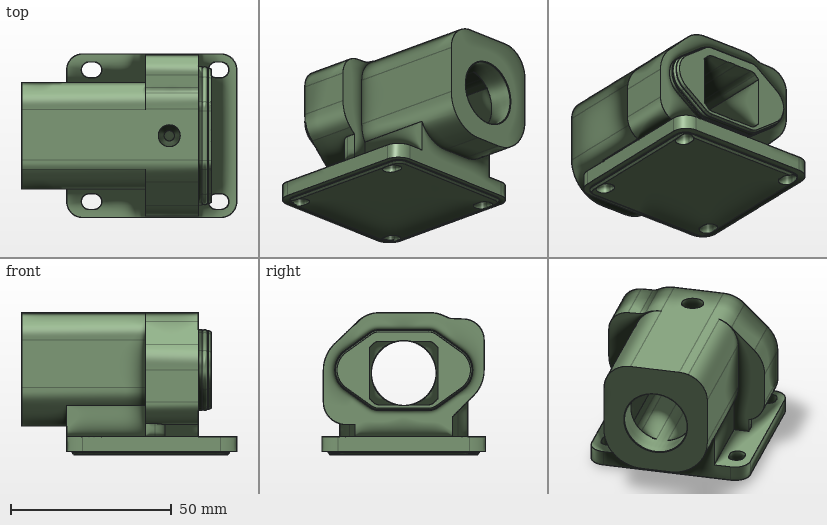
import cadquery as cq
import math

COLLAR_START = 38.5
COLLAR_END = 55.0
PLATE_START = 14.0
PLATE_END = 67.0
LIP_SEAT_END = 56.15
LIP_RING_END = 57.9
LIP_END = 59.1

PAD_HEIGHT = 1.0
PLATE_TOP = 5.7
BODY_BOTTOM = 9.0
TOP = 44.3
PEDESTAL_TOP = 16.1
LEG_TOP = 16.75
MID_HEIGHT = 26.4

PLATE_WIDTH = 51.0
PLATE_CORNER = 5.0
PAD_START = 15.7
PAD_END = 64.7
PAD_WIDTH = 47.1
PAD_CORNER = 3.35
PAD_BEVEL = 0.7
SLOT_LENGTH = 6.3
SLOT_WIDTH = 4.8
SLOT_X = (21.8, 61.3)
SLOT_Y = 20.5

BODY_HALF_WIDTH = 16.6
BODY_TOP_RADIUS = 8.5
BODY_FRONT_RADIUS = 8.9
BODY_BOTTOM_RADIUS = 12.0
PEDESTAL_HALF_WIDTH = 15.2
LEG_HALF_WIDTH = 19.95
LEG_CORNER = 3.15
LEG_END = 44.6

COLLAR_HALF_WIDTH = 25.05
SIDE_RADIUS = 11.25
FRONT_SHOULDER_RADIUS = 9.65
FRONT_SHOULDER_Y = -7.6
FRONT_SHOULDER = (FRONT_SHOULDER_Y, TOP - FRONT_SHOULDER_RADIUS)
FRONT_SHOULDER_ON_BODY = 17.5
FRONT_FOOT_RADIUS = 7.05
FRONT_FOOT_Z = 16.5
REAR_SHOULDER_RADIUS = 10.3
REAR_SHOULDER_Y = 8.25
REAR_SHOULDER_SWEEP = 29.0
REAR_VALLEY_RADIUS = 4.3
REAR_CORNER_RADIUS = 6.6
REAR_CORNER_Z = 35.7
REAR_LEDGE_TILT = 3.5

LIP_TIP_Y = 26.95
LIP_FLAT_Y = 9.3
LIP_HALF_HEIGHT = 12.6
LIP_TIP_RADIUS = 7.6
LIP_CORNER_RADIUS = 4.9
NOSE_INSET = 0.3
CORE_INSET = 0.7
NOSE_BEVEL = 0.5
NOSE_BEVEL_LENGTH = 0.95

BORE_RADIUS = 10.05
BORE_Z = 25.45
BORE_BEVEL = 0.2
CAVITY_START = 8.05
CAVITY_WIDTH = 21.45
CAVITY_HEIGHT = 19.75
CAVITY_BEVEL = 2.0
CAVITY_ROUND = 2.55
SCREW_X = 45.95
SCREW_RADIUS = 3.4
SCREW_FLOOR_RADIUS = 1.6
SCREW_DEPTH = 7.25


def yz_plane(x):
    """Sketch plane across the X axis: local axes are Y and Z, extrusion runs along +X."""
    return cq.Workplane("YZ", origin=(x, 0, 0))


def box(x_start, x_end, half_width, z_start, z_end):
    """Block centred on Y = 0."""
    size = (x_end - x_start, 2 * half_width, z_end - z_start)
    corner = (x_start, -half_width, z_start)
    return cq.Workplane("XY", origin=corner).box(*size, centered=False)


def polar(centre, radius, degrees):
    """Point on a circle."""
    angle = math.radians(degrees)
    return (centre[0] + radius * math.cos(angle), centre[1] + radius * math.sin(angle))


def arc(sketch, centre, radius, start, end):
    """Arc from the current point, which lies at the start angle; angles in degrees."""
    middle = polar(centre, radius, (start + end) / 2)
    return sketch.threePointArc(middle, polar(centre, radius, end))


def line_and_arc(sketch, centre, radius, start, end):
    """Straight line to the start of an arc, followed by the arc."""
    return arc(sketch.lineTo(*polar(centre, radius, start)), centre, radius, start, end)


def make_plate():
    """Slotted mounting plate with a bevelled pad beneath it."""
    plate = box(PLATE_START, PLATE_END, PLATE_WIDTH / 2, PAD_HEIGHT, PLATE_TOP)
    plate = plate.edges("|Z").fillet(PLATE_CORNER)
    pad = box(PAD_START, PAD_END, PAD_WIDTH / 2, 0, PAD_HEIGHT)
    pad = pad.edges("|Z").fillet(PAD_CORNER)
    pad = pad.faces("<Z").chamfer(PAD_BEVEL)
    slot_centres = [(x, y) for x in SLOT_X for y in (-SLOT_Y, SLOT_Y)]
    slots = cq.Workplane("XY").pushPoints(slot_centres).slot2D(SLOT_LENGTH, SLOT_WIDTH).extrude(PLATE_TOP)
    return plate.union(pad).cut(slots)


def make_body():
    """Rounded bar along X; its front top corner starts on the wider curve of the collar's shoulder."""
    top_y = BODY_HALF_WIDTH - BODY_TOP_RADIUS
    top_z = TOP - BODY_TOP_RADIUS
    bottom_y = BODY_HALF_WIDTH - BODY_BOTTOM_RADIUS
    bottom_z = BODY_BOTTOM + BODY_BOTTOM_RADIUS
    outline = yz_plane(0).moveTo(FRONT_SHOULDER_Y, TOP)
    outline = arc(outline, FRONT_SHOULDER, FRONT_SHOULDER_RADIUS, 90, 90 + FRONT_SHOULDER_ON_BODY)
    outline = outline.radiusArc((-BODY_HALF_WIDTH, top_z), -BODY_FRONT_RADIUS)
    outline = line_and_arc(outline, (-bottom_y, bottom_z), BODY_BOTTOM_RADIUS, 180, 270)
    outline = line_and_arc(outline, (bottom_y, bottom_z), BODY_BOTTOM_RADIUS, 270, 360)
    outline = line_and_arc(outline, (top_y, top_z), BODY_TOP_RADIUS, 0, 90)
    return outline.close().extrude(COLLAR_END)


def make_collar():
    """Wide housing with bulging sides, standing on the pedestal."""
    side_y = COLLAR_HALF_WIDTH - SIDE_RADIUS
    front_foot = (FRONT_FOOT_RADIUS - COLLAR_HALF_WIDTH, FRONT_FOOT_Z)
    rear_corner = (COLLAR_HALF_WIDTH - REAR_CORNER_RADIUS, REAR_CORNER_Z)
    rear_shoulder = (REAR_SHOULDER_Y, TOP - REAR_SHOULDER_RADIUS)
    join_angle = 90 - REAR_SHOULDER_SWEEP
    rear_valley = polar(rear_shoulder, REAR_SHOULDER_RADIUS + REAR_VALLEY_RADIUS, join_angle)
    slope_y, slope_z = polar((side_y, MID_HEIGHT), SIDE_RADIUS, -45)
    slope_end_z = slope_z - (slope_y - PEDESTAL_HALF_WIDTH)

    outline = yz_plane(COLLAR_START).moveTo(FRONT_SHOULDER_Y, TOP)
    outline = arc(outline, FRONT_SHOULDER, FRONT_SHOULDER_RADIUS, 90, 135)
    outline = line_and_arc(outline, (-side_y, MID_HEIGHT), SIDE_RADIUS, 135, 180)
    outline = line_and_arc(outline, front_foot, FRONT_FOOT_RADIUS, 180, 270)
    outline = outline.lineTo(-PEDESTAL_HALF_WIDTH, FRONT_FOOT_Z - FRONT_FOOT_RADIUS)
    outline = outline.lineTo(-PEDESTAL_HALF_WIDTH, PAD_HEIGHT)
    outline = outline.lineTo(PEDESTAL_HALF_WIDTH, PAD_HEIGHT)
    outline = outline.lineTo(PEDESTAL_HALF_WIDTH, slope_end_z)
    outline = line_and_arc(outline, (side_y, MID_HEIGHT), SIDE_RADIUS, -45, 0)
    outline = line_and_arc(outline, rear_corner, REAR_CORNER_RADIUS, 0, 90 - REAR_LEDGE_TILT)
    outline = line_and_arc(
        outline, rear_valley, REAR_VALLEY_RADIUS, 270 - REAR_LEDGE_TILT, 180 + join_angle
    )
    outline = arc(outline, rear_shoulder, REAR_SHOULDER_RADIUS, join_angle, 90)
    return outline.close().extrude(COLLAR_END - COLLAR_START)


def make_supports():
    """Pedestal under the body, and a rounded leg under each side of the collar."""
    pedestal = box(PLATE_START, COLLAR_START, PEDESTAL_HALF_WIDTH, PAD_HEIGHT, PEDESTAL_TOP)
    legs = box(COLLAR_START, LEG_END, LEG_HALF_WIDTH, PAD_HEIGHT, LEG_TOP)
    legs = legs.edges("|Z and >X").fillet(LEG_CORNER)
    return pedestal.union(legs)


def lip_block(x_start, x_end, inset):
    """Slice of the lip; the inset shrinks its outline on all sides."""
    corners = [
        (-LIP_TIP_Y, 0),
        (-LIP_FLAT_Y, LIP_HALF_HEIGHT),
        (LIP_FLAT_Y, LIP_HALF_HEIGHT),
        (LIP_TIP_Y, 0),
        (LIP_FLAT_Y, -LIP_HALF_HEIGHT),
        (-LIP_FLAT_Y, -LIP_HALF_HEIGHT),
    ]
    outline = cq.Workplane("YZ", origin=(x_start, 0, MID_HEIGHT)).polyline(corners).close()
    if inset:
        outline = outline.offset2D(-inset)
    block = outline.extrude(x_end - x_start)
    block = block.edges("|X and (<Y or >Y)").fillet(LIP_TIP_RADIUS - inset)
    return block.faces("<Z or >Z").edges("|X").fillet(LIP_CORNER_RADIUS - inset)


def make_lip():
    """Stepped lip: a seat, a rounded sealing ring and a bevelled nose."""
    seat = lip_block(COLLAR_END, LIP_SEAT_END, 0)
    core = lip_block(LIP_SEAT_END, LIP_RING_END, CORE_INSET)
    ring_radius = (LIP_RING_END - LIP_SEAT_END) / 2
    path = lip_block(LIP_SEAT_END + ring_radius, LIP_RING_END, ring_radius).faces("<X").wires()
    path_wire = path.val()
    section = cq.Workplane(cq.Plane(path_wire.startPoint(), (1, 0, 0), path_wire.tangentAt(0)))
    ring = section.circle(ring_radius).sweep(path)
    nose = lip_block(LIP_RING_END, LIP_END, NOSE_INSET)
    nose = nose.faces(">X").chamfer(NOSE_BEVEL_LENGTH, NOSE_BEVEL)
    return seat.union(core).union(ring).union(nose)


def make_openings():
    """Bevelled bore, open-ended cavity with bevelled corners, and blind screw hole with a conical bottom."""
    bore = yz_plane(0).center(0, BORE_Z).circle(BORE_RADIUS).extrude(LIP_END)
    bevel = cq.Workplane(cq.Solid.makeCone(
        BORE_RADIUS + BORE_BEVEL, BORE_RADIUS, BORE_BEVEL, cq.Vector(0, 0, BORE_Z), cq.Vector(1, 0, 0)
    ))
    cavity = yz_plane(CAVITY_START).center(0, BORE_Z).rect(CAVITY_WIDTH, CAVITY_HEIGHT)
    cavity = cavity.extrude(LIP_END - CAVITY_START).edges("|X").chamfer(CAVITY_BEVEL)
    cavity = cavity.faces("<Z or >Z").edges("|X").fillet(CAVITY_ROUND)
    screw_hole = cq.Workplane("XY", origin=(SCREW_X, 0, TOP)).circle(SCREW_RADIUS).extrude(-SCREW_DEPTH)
    screw_hole = screw_hole.faces("<Z").chamfer(SCREW_RADIUS - SCREW_FLOOR_RADIUS)
    return bore.union(bevel).union(cavity).union(screw_hole)


solid = make_plate().union(make_supports()).union(make_body()).union(make_collar()).union(make_lip())
result = solid.cut(make_openings())